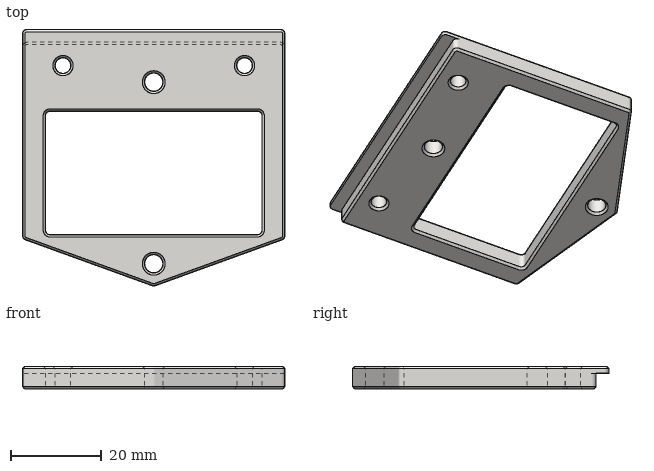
import cadquery as cq

WIDTH = 57.8
LENGTH = 56.5
THICKNESS = 5.0
BACK_Y = 31.6
SIDE_LENGTH = 46.1
TIP_ROUNDING_LOSS = 0.05
CORNER_RADIUS = 1.0
CHAMFER = 0.5

LIP_THICKNESS = 1.55
LIP_OVERHANG = 2.85

WINDOW_WIDTH = 47.7
WINDOW_LENGTH = 27.15
WINDOW_RADIUS = 1.0

LARGE_HOLE_DIAMETER = 4.0
SMALL_HOLE_DIAMETER = 3.4
HOLE_OFFSET = 20.0
SMALL_HOLE_Y = 23.65

SHOULDER_Y = BACK_Y - SIDE_LENGTH
TIP_Y = BACK_Y - LENGTH - TIP_ROUNDING_LOSS
LIP_BOTTOM_Z = THICKNESS - LIP_THICKNESS


def pointed_plate(back_y, bottom_z, height):
    """Five-sided plate pointing toward -Y, with rounded vertical corners."""
    outline = [
        (-WIDTH / 2, back_y),
        (-WIDTH / 2, SHOULDER_Y),
        (0, TIP_Y),
        (WIDTH / 2, SHOULDER_Y),
        (WIDTH / 2, back_y),
    ]
    plate = cq.Workplane("XY").workplane(offset=bottom_z).polyline(outline).close().extrude(height)
    return plate.edges("|Z").fillet(CORNER_RADIUS)


def through_hole(diameter, x, y):
    """Cutter for a hole through the full thickness."""
    return cq.Workplane("XY").center(x, y).circle(diameter / 2).extrude(THICKNESS)


body = pointed_plate(BACK_Y - LIP_OVERHANG, 0, LIP_BOTTOM_Z)
lip = pointed_plate(BACK_Y, LIP_BOTTOM_Z, LIP_THICKNESS)
result = body.union(lip)

window = (
    cq.Workplane("XY")
    .rect(WINDOW_WIDTH, WINDOW_LENGTH)
    .extrude(THICKNESS)
    .edges("|Z")
    .fillet(WINDOW_RADIUS)
)
result = result.cut(window)

for side in (-1, 1):
    result = result.cut(through_hole(LARGE_HOLE_DIAMETER, 0, side * HOLE_OFFSET))
    result = result.cut(through_hole(SMALL_HOLE_DIAMETER, side * HOLE_OFFSET, SMALL_HOLE_Y))

result = result.faces("<Z or >Z").edges().chamfer(CHAMFER)